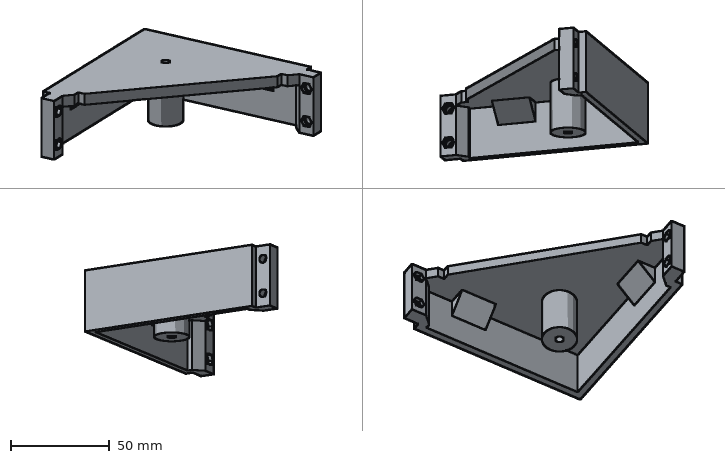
import cadquery as cq
import math

SIZE = 107.0
HEIGHT = 32.0
WALL = 4.0
ROOF = 6.0
ROOF_UNDERSIDE = HEIGHT - ROOF

TAB_LENGTH = 8.3
TAB_OUTER = WALL
TAB_INNER = 11.55
BOX_LENGTH = SIZE - TAB_LENGTH
TAB_CHAMFER = 5.0

NOTCH_NEAR = 16.0
NOTCH_FAR = 90.7
DIAGONAL_SUM = BOX_LENGTH + TAB_INNER

TAB_HOLE_DIAMETER = 4.0
TAB_HOLE_INSET = TAB_LENGTH / 2
TAB_HOLE_HEIGHTS = (7.0, 25.0)
NUT_ACROSS_FLATS = 5.4
NUT_ACROSS_CORNERS = NUT_ACROSS_FLATS / math.cos(math.pi / 6)
NUT_DEPTH = 2.5

POST_DIAMETER = 17.8
POST_OFFSET = 32.0
POST_HOLE_DIAMETER = 4.2

WEDGE_SIZE = 10.0
WEDGE_START = 58.7
WEDGE_LENGTH = 20.0


def mirrored(solid):
    """Copy a feature of the back wall onto the left wall, across the line y = -x."""
    return solid.mirror("XY").rotate((0, 0, 0), (1, -1, 0), 180)


def prism(points, bottom, height):
    """Extrude a plan outline upwards from the given level."""
    return cq.Workplane("XY").workplane(offset=bottom).polyline(points).close().extrude(height)


def make_roof():
    outline = [
        (0, 0),
        (BOX_LENGTH, 0),
        (BOX_LENGTH, -TAB_INNER),
        (DIAGONAL_SUM - NOTCH_NEAR, -NOTCH_NEAR),
        (NOTCH_FAR, -NOTCH_NEAR),
        (NOTCH_FAR, NOTCH_FAR - DIAGONAL_SUM),
        (DIAGONAL_SUM - NOTCH_FAR, -NOTCH_FAR),
        (NOTCH_NEAR, -NOTCH_FAR),
        (NOTCH_NEAR, NOTCH_NEAR - DIAGONAL_SUM),
        (TAB_INNER, -BOX_LENGTH),
        (0, -BOX_LENGTH),
    ]
    return prism(outline, ROOF_UNDERSIDE, ROOF)


def make_wall():
    return cq.Workplane("XY").box(BOX_LENGTH, WALL, HEIGHT, centered=False).translate((0, -WALL, 0))


def make_tab():
    """Tab block along the inside of the back wall, chamfered towards the inside of the box."""
    start = BOX_LENGTH - TAB_CHAMFER
    outline = [
        (start, -TAB_OUTER),
        (SIZE, -TAB_OUTER),
        (SIZE, -TAB_INNER),
        (BOX_LENGTH, -TAB_INNER),
        (start, TAB_CHAMFER - TAB_INNER),
    ]
    return prism(outline, 0, HEIGHT)


def make_wedge():
    profile = [
        (-WALL, ROOF_UNDERSIDE),
        (-WALL, ROOF_UNDERSIDE - WEDGE_SIZE),
        (-WALL - WEDGE_SIZE, ROOF_UNDERSIDE),
    ]
    wedge = cq.Workplane("YZ").workplane(offset=WEDGE_START).polyline(profile).close()
    return wedge.extrude(WEDGE_LENGTH)


def make_tab_holes():
    """Screw holes through a tab, with nut pockets sunk into its inner face."""
    centers = [(SIZE - TAB_HOLE_INSET, height) for height in TAB_HOLE_HEIGHTS]
    inner_face = cq.Workplane("XZ", origin=(0, -TAB_INNER, 0)).pushPoints(centers)
    holes = inner_face.circle(TAB_HOLE_DIAMETER / 2).extrude(TAB_OUTER - TAB_INNER)
    pockets = inner_face.polygon(6, NUT_ACROSS_CORNERS).extrude(-NUT_DEPTH)
    return holes.union(pockets)


def post_cylinder(diameter):
    center = cq.Workplane("XY").center(POST_OFFSET, -POST_OFFSET)
    return center.circle(diameter / 2).extrude(HEIGHT)


result = make_roof().union(post_cylinder(POST_DIAMETER))
for feature in (make_wall(), make_tab(), make_wedge()):
    result = result.union(feature).union(mirrored(feature))

tab_holes = make_tab_holes()
result = result.cut(tab_holes).cut(mirrored(tab_holes)).cut(post_cylinder(POST_HOLE_DIAMETER))

result = result.translate((0, SIZE, 0))